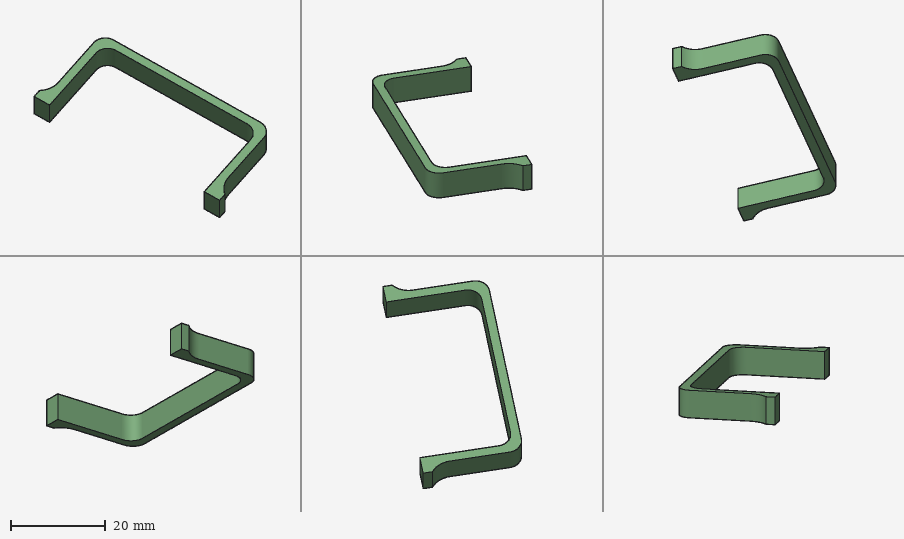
import cadquery as cq
import math

inner_width = 40.0
wall = 2.0
depth = 22.0
height = 6.0
corner_radius = 3.0
foot_projection = 2.0
foot_thickness = 2.0
flare_radius = 5.0

inner_x = inner_width / 2
outer_x = inner_x + wall
foot_x = outer_x + foot_projection

flare_angle = math.acos(1 - foot_projection / flare_radius)
flare_top_y = foot_thickness + flare_radius * math.sin(flare_angle)
flare_mid_x = outer_x + flare_radius * (1 - math.cos(flare_angle / 2))
flare_mid_y = flare_top_y - flare_radius * math.sin(flare_angle / 2)


def make_bracket():
    """U-shaped strap with flared feet, before its corners are rounded."""
    return (
        cq.Workplane("XY")
        .moveTo(-foot_x, 0)
        .lineTo(-inner_x, 0)
        .lineTo(-inner_x, depth - wall)
        .lineTo(inner_x, depth - wall)
        .lineTo(inner_x, 0)
        .lineTo(foot_x, 0)
        .lineTo(foot_x, foot_thickness)
        .threePointArc((flare_mid_x, flare_mid_y), (outer_x, flare_top_y))
        .lineTo(outer_x, depth)
        .lineTo(-outer_x, depth)
        .lineTo(-outer_x, flare_top_y)
        .threePointArc((-flare_mid_x, flare_mid_y), (-foot_x, foot_thickness))
        .close()
        .extrude(height)
    )


def round_corners(body):
    """Round the inner and outer vertical edges where the legs meet the bridge."""
    corners = [
        (side * x, y, height / 2)
        for side in (-1, 1)
        for x, y in ((inner_x, depth - wall), (outer_x, depth))
    ]
    for corner in corners:
        body = body.edges(cq.NearestToPointSelector(corner)).fillet(corner_radius)
    return body


result = round_corners(make_bracket())